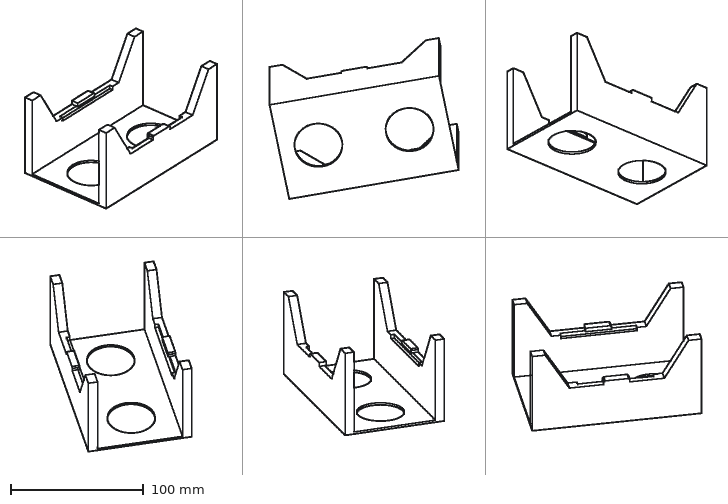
import cadquery as cq

width = 80.0
length = 130.0
height = 67.0
wall = 7.2
floor = 1.8

rim_height = 35.1
post_top = 10.0
post_base = 28.6

hole_diameter = 36.0
hole_spacing = 70.0

recess_length = 58.5
recess_width = 2.7
recess_depth = 3.0

tab_length = 20.0
tab_width = 5.8
tab_height = 3.1
tab_chamfer = 1.0

half_length = length / 2
outer_x = width / 2
inner_x = outer_x - wall


def wall_solid(side):
    """Side wall with a tall post at each end; side is -1 or +1."""
    outline = [
        (-half_length, 0),
        (half_length, 0),
        (half_length, height),
        (half_length - post_top, height),
        (half_length - post_base, rim_height),
        (-half_length + post_base, rim_height),
        (-half_length + post_top, height),
        (-half_length, height),
    ]
    start_x = inner_x if side > 0 else -outer_x
    return cq.Workplane("YZ", origin=(start_x, 0, 0)).polyline(outline).close().extrude(wall)


def recess_cutter(side):
    """Shallow step open to the rim and to the inner wall face."""
    return cq.Workplane("XY").box(recess_width, recess_length, recess_depth).translate(
        (side * (inner_x + recess_width / 2), 0, rim_height - recess_depth / 2)
    )


def tab(side, chamfered_ends):
    """Rim tab, overhanging the recess, with its top end edges chamfered where selected."""
    block = cq.Workplane("XY").box(tab_width, tab_length, tab_height)
    block = block.faces(">Z").edges(chamfered_ends).chamfer(tab_chamfer)
    return block.translate((side * (outer_x - tab_width / 2), 0, rim_height + tab_height / 2))


result = cq.Workplane("XY").box(width, length, floor, centered=(True, True, False))
hole_centers = [(0, -hole_spacing / 2), (0, hole_spacing / 2)]
result = result.pushPoints(hole_centers).circle(hole_diameter / 2).cutThruAll()

for side, chamfered_ends in ((-1, ">Y"), (1, ">Y or <Y")):
    result = result.union(wall_solid(side).cut(recess_cutter(side)))
    result = result.union(tab(side, chamfered_ends))